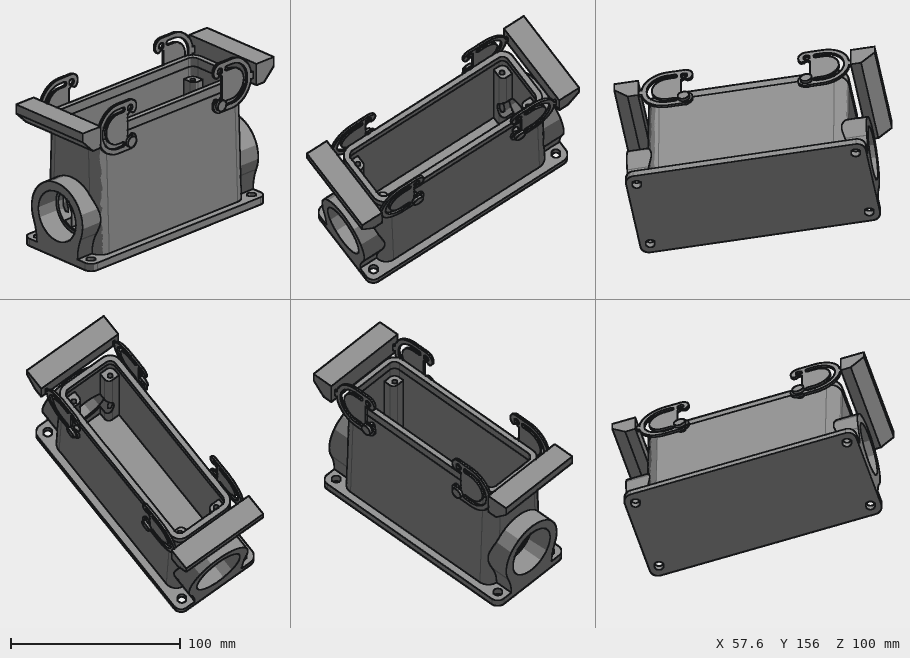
import cadquery as cq
import math

flange_half_x = 28.78
flange_half_y = 71.8
flange_height = 4.8
flange_corner_radius = 5.1
mounting_hole_radius = 2.73
mounting_hole_x = 22.3
mounting_hole_y = 65.5

wall_half_y = 59.9
wall_half_x_bottom = 24.0
wall_half_x_top = 21.4
wall_thickness = 3.6
wall_corner_radius = 7.5

rim_top = 84.1
rim_height = 5.8
rim_bottom = rim_top - rim_height

post_top = 71.8
post_side_x = 9.4
post_side_y = 48.8
post_corner_radius = 3.3
post_hole_x = 13.4
post_hole_y = 51.8
post_hole_radius = 1.48

entry_height = 27.0
entry_radius = 21.7
entry_foot_half_width = 17.3
entry_bore_radius = 15.9
entry_bore_depth = 14.5
entry_hole_radius = 14.0

plate_thickness = 1.4
plate_inner_x = 24.2
plate_outer_x = plate_inner_x + plate_thickness
plate_arc_y = 46.3
plate_arc_radius = 15.9
slot_outer_radius = 12.8
slot_inner_radius = 9.7
slot_end_y = 42.5
plate_edge_y = 38.7
hook_y = 36.7
hook_radius = 5.07
hook_offset_z = plate_arc_radius - hook_radius
hook_tip_offset_z = 6.94
hook_hole_radius = 1.95
notch_web = 0.3
pivot_height = rim_top - hook_offset_z
pin_head_radius = 3.5
pin_head_thickness = 1.9

bar_half_x = 28.47
bar_outer_y = 78.0
bar_inner_y = 63.6
bar_top = 92.2
bar_bottom = rim_bottom
bar_chamfer = 8.1
tab_half_height = 2.2


def box_between(x_range, y_range, z_range):
    """Axis-aligned box from its lower and upper limits."""
    low = cq.Vector(x_range[0], y_range[0], z_range[0])
    high = cq.Vector(x_range[1], y_range[1], z_range[1])
    size = high - low
    return cq.Workplane("XY").box(size.x, size.y, size.z, centered=False).translate(low)


def rounded_rectangle(half_x, half_y, radius):
    return cq.Sketch().rect(2 * half_x, 2 * half_y).vertices().fillet(radius)


def wall_half_x_at(z):
    """Half width of the leaning walls at height z."""
    rise = (z - flange_height) / (rim_bottom - flange_height)
    return wall_half_x_bottom + rise * (wall_half_x_top - wall_half_x_bottom)


def leaning_walls():
    """Solid block between flange and rim whose long sides lean inwards."""
    bottom = rounded_rectangle(wall_half_x_bottom, wall_half_y, wall_corner_radius)
    top = rounded_rectangle(wall_half_x_top, wall_half_y, wall_corner_radius)
    lift = cq.Location(cq.Vector(0, 0, rim_bottom - flange_height))
    return (
        cq.Workplane("XY", origin=(0, 0, flange_height))
        .placeSketch(bottom, top.moved(lift))
        .loft(ruled=True)
    )


def cavity_prism(z_start, z_end):
    """Upright prism with the outline of the opening, between two heights."""
    opening = rounded_rectangle(
        wall_half_x_top - wall_thickness,
        wall_half_y - wall_thickness,
        wall_corner_radius - wall_thickness,
    )
    return cq.Workplane("XY", origin=(0, 0, z_start)).placeSketch(opening).extrude(z_end - z_start)


def flange():
    plate = rounded_rectangle(flange_half_x, flange_half_y, flange_corner_radius)
    return (
        cq.Workplane("XY")
        .placeSketch(plate)
        .extrude(flange_height)
        .faces(">Z")
        .workplane(origin=(0, 0, 0))
        .rect(2 * mounting_hole_x, 2 * mounting_hole_y, forConstruction=True)
        .vertices()
        .hole(2 * mounting_hole_radius)
    )


def cable_entries():
    """Round sleeves through both ends, with a foot that flares tangentially into the flange."""
    drop = entry_height - flange_height
    flare_radius = (entry_foot_half_width**2 + drop**2 - entry_radius**2) / (
        2 * (entry_radius - entry_foot_half_width)
    )
    flare_x = entry_foot_half_width + flare_radius
    touch_angle = math.atan2(drop, flare_x)
    touch_x = entry_radius * math.cos(touch_angle)
    touch_z = entry_height - entry_radius * math.sin(touch_angle)
    middle_x = flare_x - flare_radius * math.cos(touch_angle / 2)
    middle_z = flange_height + flare_radius * math.sin(touch_angle / 2)
    return (
        cq.Workplane("XZ", origin=(0, flange_half_y, 0))
        .moveTo(-entry_foot_half_width, 0)
        .lineTo(entry_foot_half_width, 0)
        .lineTo(entry_foot_half_width, flange_height)
        .threePointArc((middle_x, middle_z), (touch_x, touch_z))
        .threePointArc((0, entry_height + entry_radius), (-touch_x, touch_z))
        .threePointArc((-middle_x, middle_z), (-entry_foot_half_width, flange_height))
        .close()
        .extrude(2 * flange_half_y)
    )


def entry_cylinder(radius, y_start, length):
    return cq.Workplane("XZ", origin=(0, y_start, entry_height)).circle(radius).extrude(-length)


def entry_openings():
    """Hole through both end walls, widened to a bore in each sleeve."""
    hole = entry_cylinder(entry_hole_radius, -flange_half_y, 2 * flange_half_y)
    for bore_start in (-flange_half_y, flange_half_y - entry_bore_depth):
        hole = hole.union(entry_cylinder(entry_bore_radius, bore_start, entry_bore_depth))
    return hole


def screw_posts(cavity):
    """Four corner posts, trimmed to the cavity so that they merge with its walls."""
    posts = cq.Workplane("XY")
    for side_x in (-1, 1):
        for side_y in (-1, 1):
            post = (
                box_between(
                    (post_side_x, wall_half_x_bottom),
                    (post_side_y, wall_half_y),
                    (flange_height, post_top),
                )
                .edges("|Z and <X and <Y")
                .fillet(post_corner_radius)
            )
            hole = (
                cq.Workplane("XY", origin=(post_hole_x, post_hole_y, flange_height))
                .circle(post_hole_radius)
                .extrude(post_top - flange_height)
            )
            post = post.cut(hole)
            if side_x < 0:
                post = post.mirror("YZ")
            if side_y < 0:
                post = post.mirror("XZ")
            posts = posts.add(post.intersect(cavity))
    return posts.vals()


def plate_cylinder(y, z, radius):
    """Disc of plate thickness in the plane of the lever plate."""
    return cq.Workplane("YZ", origin=(plate_inner_x, y, z)).circle(radius).extrude(plate_thickness)


def plate_block(y_range, half_height):
    """Block of plate thickness, centred on the mid height of the lever."""
    return box_between(
        (plate_inner_x, plate_outer_x), y_range, (rim_top - half_height, rim_top + half_height)
    )


def curved_slot():
    """C-shaped slot: half ring with a straight round-ended run above and below."""
    slot = plate_cylinder(plate_arc_y, rim_top, slot_outer_radius).union(
        plate_block((slot_end_y, plate_arc_y), slot_outer_radius)
    )
    core = plate_cylinder(plate_arc_y, rim_top, slot_inner_radius).union(
        plate_block((plate_edge_y - hook_radius, plate_arc_y), slot_inner_radius)
    )
    slot = slot.cut(plate_block((plate_arc_y - slot_outer_radius, slot_end_y), slot_outer_radius))
    slot = slot.cut(core)
    end_radius = (slot_outer_radius - slot_inner_radius) / 2
    end_offset = (slot_outer_radius + slot_inner_radius) / 2
    for side in (-1, 1):
        slot = slot.union(plate_cylinder(slot_end_y, rim_top + side * end_offset, end_radius))
    return slot


def hook_notch(side):
    """V-shaped notch from the straight plate edge up to just short of the hook hole."""
    half_width = hook_hole_radius
    tip_z = rim_top + side * hook_tip_offset_z
    apex_z = rim_top + side * (hook_offset_z - hook_hole_radius - notch_web)
    return (
        cq.Workplane("YZ", origin=(plate_inner_x, 0, 0))
        .polyline([(hook_y - half_width, tip_z), (hook_y + half_width, tip_z), (hook_y, apex_z)])
        .close()
        .extrude(plate_thickness)
    )


def lever_plate():
    plate = plate_cylinder(plate_arc_y, rim_top, plate_arc_radius)
    plate = plate.cut(plate_block((0, plate_edge_y), plate_arc_radius))
    plate = plate.union(plate_block((hook_y, plate_arc_y), plate_arc_radius))
    for side in (-1, 1):
        plate = plate.union(plate_cylinder(hook_y, rim_top + side * hook_offset_z, hook_radius))
    plate = plate.cut(plate_block((0, plate_edge_y), hook_tip_offset_z))
    plate = plate.cut(curved_slot())
    for side in (-1, 1):
        plate = plate.cut(hook_notch(side))
    plate = plate.cut(plate_cylinder(hook_y, rim_top + hook_offset_z, hook_hole_radius))
    tab_start = plate_arc_y + (slot_outer_radius + plate_arc_radius) / 2
    return plate.union(plate_block((tab_start, bar_inner_y), tab_half_height))


def pivot_pin():
    """Headed pivot that carries the lever plate on the leaning wall."""
    root_x = wall_half_x_at(pivot_height) - wall_thickness / 2
    start = cq.Workplane("YZ", origin=(root_x, hook_y, pivot_height))
    head = cq.Workplane("YZ", origin=(plate_outer_x, hook_y, pivot_height))
    shank = start.circle(hook_hole_radius).extrude(plate_outer_x - root_x)
    return shank.union(head.circle(pin_head_radius).extrude(pin_head_thickness))


def grip_bar():
    return (
        box_between((-bar_half_x, bar_half_x), (bar_inner_y, bar_outer_y), (bar_bottom, bar_top))
        .edges("|X and >Y and <Z")
        .chamfer(bar_chamfer)
    )


def lever():
    """Lever on the +Y end: a grip bar with a pivoted plate on each side."""
    side = lever_plate().union(pivot_pin())
    return grip_bar().union(side).union(side.mirror("YZ"))


def make_housing():
    """Housing with the two levers held on its side walls."""
    cavity = cavity_prism(flange_height, rim_bottom)
    housing = flange().union(leaning_walls()).union(cable_entries())
    housing = housing.cut(cavity)
    for post in screw_posts(cavity):
        housing = housing.union(cq.Workplane(post))
    housing = housing.cut(entry_openings())
    return housing.union(lever()).union(lever().mirror("XZ"))


def make_rim_frame():
    """Frame that closes the top of the walls, flush with them inside and outside."""
    outer = rounded_rectangle(wall_half_x_top, wall_half_y, wall_corner_radius)
    frame = cq.Workplane("XY", origin=(0, 0, rim_bottom)).placeSketch(outer).extrude(rim_height)
    return frame.cut(cavity_prism(rim_bottom, rim_top))


housing = make_housing()
rim_frame = make_rim_frame()

result = cq.Compound.makeCompound([housing.val(), rim_frame.val()])